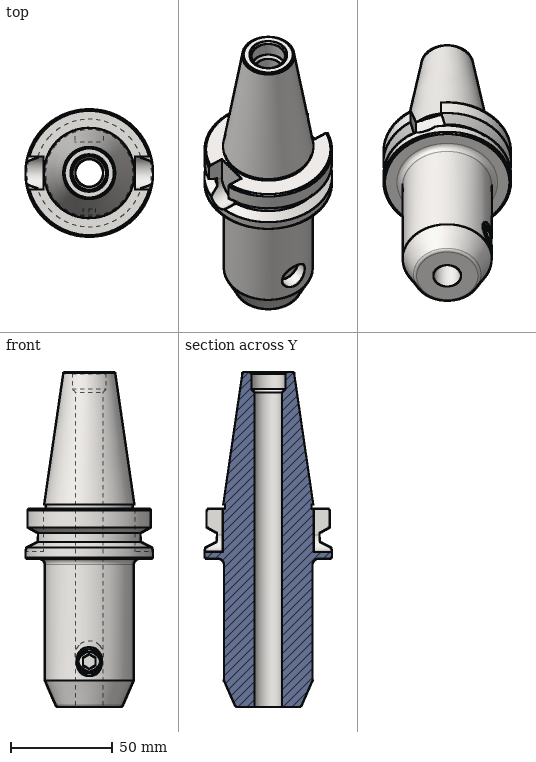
import cadquery as cq
import math

total_length = 165.4
gauge_z = 99.9
flange_top_z = 97.9
groove_upper_rim_z = 88.7
groove_top_z = 85.8
groove_bottom_z = 81.5
groove_lower_rim_z = 78.7
flange_bottom_z = 73.1
nose_cone_top_z = 13.2

gauge_radius = 22.3
taper_ratio = 7 / 24
taper_end_radius = gauge_radius - (total_length - gauge_z) * taper_ratio / 2
taper_end_chamfer = 0.7
neck_radius = 21.5
flange_radius = 31.51
flange_chamfer = 0.8
groove_radius = 26.6
body_radius = 22.0
body_fillet = 2.8
nose_radius = 16.2
nose_fillet = 1.7

bore_radius = 6.8
pilot_radius = 8.3
pilot_depth = 8.6
pilot_chamfer = 1.0

slot_width = 16.2
slot_floor_x = 22.5
slot_bottom_z = 76.7

screw_z = 22.5
screw_radius = 6.0
screw_face_y = -21.8
screw_chamfer = 1.2
countersink_radius = 7.1
hex_across_flats = 6.3
hex_depth = 4.1

recess_z = 25.8
recess_radius = 7.0
recess_depth = 6.6


def holder_body():
    """Revolve the taper, flange and cylindrical nose as one solid."""
    fillet_z = flange_bottom_z - body_fillet
    fillet_middle = body_fillet * (1 - math.sqrt(0.5))
    body = (
        cq.Workplane("XZ")
        .moveTo(0, 0)
        .lineTo(nose_radius, 0)
        .lineTo(body_radius, nose_cone_top_z)
        .lineTo(body_radius, fillet_z)
        .threePointArc(
            (body_radius + fillet_middle, flange_bottom_z - fillet_middle),
            (body_radius + body_fillet, flange_bottom_z),
        )
        .lineTo(flange_radius - flange_chamfer, flange_bottom_z)
        .lineTo(flange_radius, flange_bottom_z + flange_chamfer)
        .lineTo(flange_radius, groove_lower_rim_z)
        .lineTo(groove_radius, groove_bottom_z)
        .lineTo(groove_radius, groove_top_z)
        .lineTo(flange_radius, groove_upper_rim_z)
        .lineTo(flange_radius, flange_top_z - flange_chamfer)
        .lineTo(flange_radius - flange_chamfer, flange_top_z)
        .lineTo(neck_radius, flange_top_z)
        .lineTo(neck_radius, gauge_z)
        .lineTo(gauge_radius, gauge_z)
        .lineTo(taper_end_radius, total_length)
        .lineTo(0, total_length)
        .close()
        .revolve(360, (0, 0, 0), (0, 1, 0))
    )
    body = body.faces("<Z").edges().fillet(nose_fillet)
    return body.faces(">Z").edges().chamfer(taper_end_chamfer)


def axial_bore():
    """Through bore with a chamfered pilot and conical step at the taper end."""
    pilot_floor_z = total_length - pilot_depth
    step_height = pilot_radius - bore_radius
    return (
        cq.Workplane("XZ")
        .moveTo(0, 0)
        .lineTo(bore_radius, 0)
        .lineTo(bore_radius, pilot_floor_z - step_height)
        .lineTo(pilot_radius, pilot_floor_z)
        .lineTo(pilot_radius, total_length - pilot_chamfer)
        .lineTo(pilot_radius + pilot_chamfer, total_length)
        .lineTo(0, total_length)
        .close()
        .revolve(360, (0, 0, 0), (0, 1, 0))
    )


def drive_slot(side):
    """Round-bottomed slot through the flange on the given X side."""
    slot_radius = slot_width / 2
    arc_center_z = slot_bottom_z + slot_radius
    return (
        cq.Workplane("YZ", origin=(side * slot_floor_x, 0, 0))
        .moveTo(-slot_radius, gauge_z)
        .lineTo(-slot_radius, arc_center_z)
        .threePointArc((0, slot_bottom_z), (slot_radius, arc_center_z))
        .lineTo(slot_radius, gauge_z)
        .close()
        .extrude(side * flange_radius)
    )


def screw_clearance():
    """Ring-shaped V groove left between the countersink and the screw chamfer."""
    countersink_depth = countersink_radius - screw_radius
    groove_root_y = screw_face_y + screw_chamfer
    surface_y = groove_root_y - countersink_depth
    outside_y = -flange_radius
    face_radius = screw_radius - screw_chamfer
    return (
        cq.Workplane("XY", origin=(0, 0, screw_z))
        .moveTo(0, outside_y)
        .lineTo(countersink_radius, outside_y)
        .lineTo(countersink_radius, surface_y)
        .lineTo(screw_radius, groove_root_y)
        .lineTo(face_radius, screw_face_y)
        .lineTo(0, screw_face_y)
        .close()
        .revolve(360, (0, 0, 0), (0, 1, 0))
    )


def screw_socket():
    """Hexagonal socket with corners pointing along Z."""
    across_corners = hex_across_flats / math.cos(math.pi / 6)
    return (
        cq.Workplane("XZ", origin=(0, screw_face_y, screw_z))
        .transformed(rotate=(0, 0, 90))
        .polygon(6, across_corners)
        .extrude(-hex_depth)
    )


def rear_recess():
    """Blind round recess opposite the clamping screw."""
    return (
        cq.Workplane("XZ", origin=(0, body_radius, recess_z))
        .circle(recess_radius)
        .extrude(recess_depth)
    )


result = holder_body().cut(axial_bore())
for side in (-1, 1):
    result = result.cut(drive_slot(side))
result = result.cut(screw_clearance()).cut(screw_socket()).cut(rear_recess())